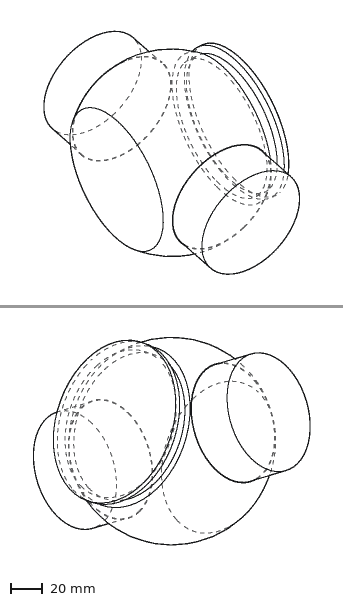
import cadquery as cq

ball_diameter = 130.0
body_width = 104.78
front_face_y = -42.86
shoulder_y = 38.9

pipe_diameter = 76.2
overall_length = 165.86

overall_depth = 95.25
neck_diameter = 95.25
flange_diameter = 104.78
rim_thickness = 3.6
flange_taper_length = 2.0


def make_body():
    """Ball cut flat at both sides, at the front and at the back."""
    ball = cq.Workplane("YZ").sphere(ball_diameter / 2)
    flats = (
        cq.Workplane("XY")
        .box(body_width, shoulder_y - front_face_y, ball_diameter)
        .translate((0, (shoulder_y + front_face_y) / 2, 0))
    )
    return ball.intersect(flats)


def make_pipes():
    """One straight bar through the ball forms both side pipes."""
    return cq.Workplane("YZ").circle(pipe_diameter / 2).extrude(overall_length / 2, both=True)


def make_ferrule():
    """Neck and taper-backed flange, revolved about the Y axis."""
    flange_face_y = front_face_y + overall_depth
    rim_back_y = flange_face_y - rim_thickness
    taper_root_y = rim_back_y - flange_taper_length
    profile = [
        (0, 0),
        (neck_diameter / 2, 0),
        (neck_diameter / 2, taper_root_y),
        (flange_diameter / 2, rim_back_y),
        (flange_diameter / 2, flange_face_y),
        (0, flange_face_y),
    ]
    return cq.Workplane("XY").polyline(profile).close().revolve(360, (0, 0, 0), (0, 1, 0))


result = make_body().union(make_pipes()).union(make_ferrule())